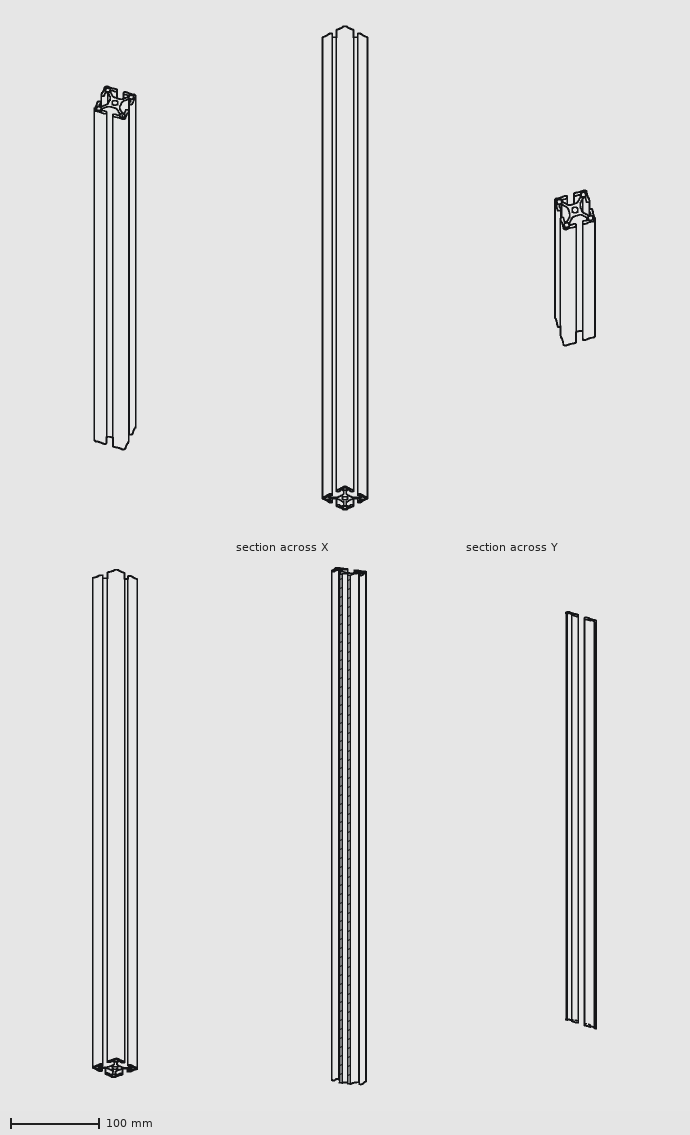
import cadquery as cq
import math

length = 609.5
width = 38.0
half_width = width / 2
corner_radius = 3.0

slot_opening = 8.0
slot_inner_width = 21.0
lip_thickness = 3.95
lip_root_thickness = 3.35
lip_edge_radius = 2.0
lip_tip_radius = 1.7
chamber_radius = 0.75

core_width = 14.0
bore_diameter = 7.0
web_thickness = 3.0
web_root_radius = 5.5

wall_thickness = 2.15
cavity_size = 5.2
cavity_radius = 1.0

recess_depth = 0.4
recess_start = 8.0
recess_end = 16.0
recess_ramp = 2.0

point_tolerance = 0.05


def prism(points):
    """Full-length prism over an XY outline."""
    return cq.Workplane("XY").polyline(points).close().extrude(length)


def round_edges(solid, points, radius):
    """Fillet the edges parallel to Z that pass through the given XY points."""

    def passes_through(edge):
        center = edge.Center()
        return any(math.dist((center.x, center.y), point) < point_tolerance for point in points)

    return solid.edges("|Z").filter(passes_through).fillet(radius)


def mirrored(points):
    """Mirror XY points in the X axis, in reverse order so that they close an outline."""
    return [(x, -y) for x, y in reversed(points)]


def quarter_turns(solid):
    """Combine four copies of a solid, a quarter turn apart about Z."""
    copies = solid
    for turn in range(1, 4):
        copies = copies.union(solid.rotate((0, 0, 0), (0, 0, 1), 90 * turn))
    return copies


def t_slot():
    """Slot on the +X side: a straight opening and a chamber narrowing along the webs."""
    mouth = slot_opening / 2
    chamber = slot_inner_width / 2
    core_face = core_width / 2
    web_offset = web_thickness / math.sqrt(2)
    outer_edge = (half_width, mouth)
    lip_tip = (half_width - lip_thickness, mouth)
    lip_root = (half_width - lip_root_thickness, chamber)
    web_end = (chamber + web_offset, chamber)
    web_root = (core_face, core_face - web_offset)
    half = [outer_edge, lip_tip, lip_root, web_end, web_root]
    slot = prism(half + mirrored(half))
    slot = round_edges(slot, [web_root] + mirrored([web_root]), web_root_radius)
    slot = round_edges(slot, [lip_tip] + mirrored([lip_tip]), lip_tip_radius)
    slot = round_edges(slot, [lip_root] + mirrored([lip_root]), chamber_radius)
    return slot


def corner_cavity():
    """Square hollow with rounded corners behind the outer corner in the +X +Y quadrant."""
    center = half_width - wall_thickness - cavity_size / 2
    cavity = cq.Workplane("XY").center(center, center).rect(cavity_size, cavity_size).extrude(length)
    return cavity.edges("|Z").fillet(cavity_radius)


def lip_recess():
    """Shallow trapezoidal trough in the +X face, beside the slot on both sides."""
    floor = half_width - recess_depth
    trough = prism([
        (half_width, recess_start),
        (floor, recess_start + recess_ramp),
        (floor, recess_end - recess_ramp),
        (half_width, recess_end),
    ])
    return trough.union(trough.mirror("XZ"))


def lip_corners():
    """XY points of the eight sharp outer edges beside the slot openings."""
    along = (-slot_opening / 2, slot_opening / 2)
    across = (-half_width, half_width)
    return [(x, y) for x in across for y in along] + [(x, y) for x in along for y in across]


profile = cq.Workplane("XY").rect(width, width).extrude(length).edges("|Z").fillet(corner_radius)
profile = profile.cut(quarter_turns(t_slot()))
profile = round_edges(profile, lip_corners(), lip_edge_radius)
profile = profile.cut(quarter_turns(corner_cavity()))
profile = profile.cut(quarter_turns(lip_recess()))
result = profile.cut(cq.Workplane("XY").circle(bore_diameter / 2).extrude(length))